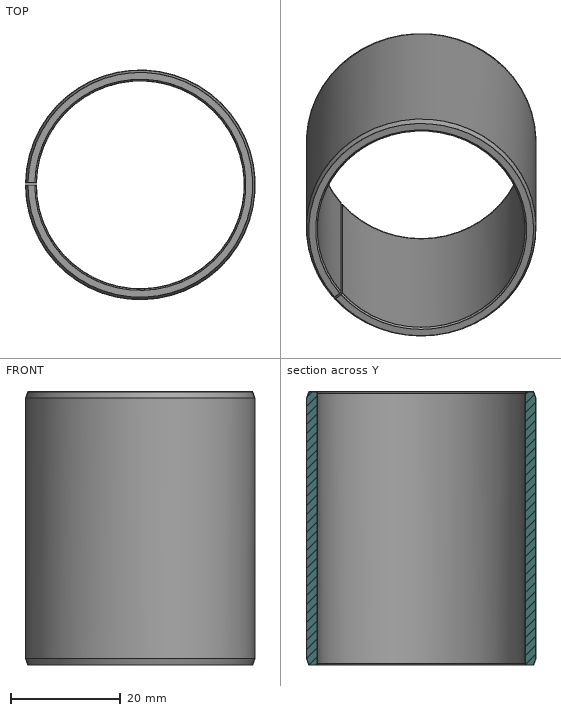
import cadquery as cq

length = 50.0
outer_diameter = 42.0
wall = 2.0
outer_chamfer_height = 1.2
outer_chamfer_depth = 0.45
inner_chamfer = 0.3
split_angle = 1.0

outer_radius = outer_diameter / 2
inner_radius = outer_radius - wall


def wall_section():
    """Radial section of the wall on the -X side, with both ends chamfered."""
    return (
        cq.Workplane("XZ")
        .moveTo(-inner_radius - inner_chamfer, 0)
        .lineTo(-outer_radius + outer_chamfer_depth, 0)
        .lineTo(-outer_radius, outer_chamfer_height)
        .lineTo(-outer_radius, length - outer_chamfer_height)
        .lineTo(-outer_radius + outer_chamfer_depth, length)
        .lineTo(-inner_radius - inner_chamfer, length)
        .lineTo(-inner_radius, length - inner_chamfer)
        .lineTo(-inner_radius, inner_chamfer)
        .close()
    )


result = wall_section().revolve(360 - split_angle, (0, 0, 0), (0, 1, 0))